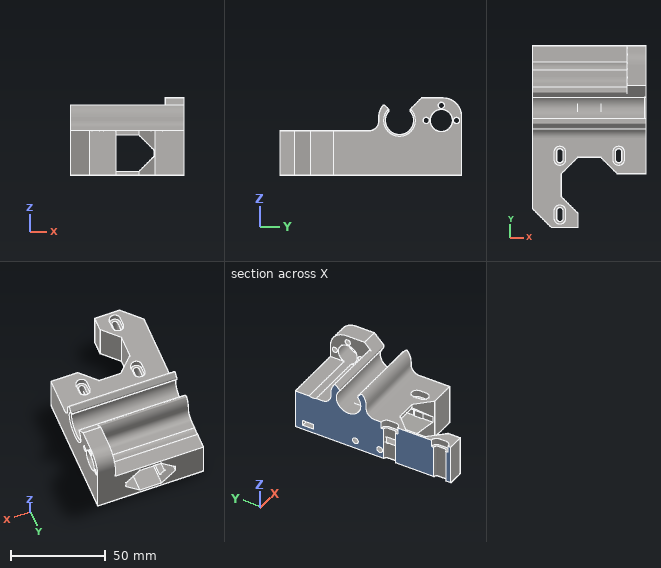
import cadquery as cq
import math

width = 60.0
length = 96.0
block_top = 23.6
leg_width = 24.1
leg_chamfer = 10.0
front_face_y = 28.3
center_x = width / 2

rod_y = 63.2
axis_z = 29.0
bore_radius = 7.4
bore_entry_chamfer = 1.0
mouth_half_width = 5.6
ridge_half_width = 11.0
ridge_fillet = 5.0
ridge_arc_radius = 10.0
ridge_arc_z = 30.6
ridge_edge_round = 0.8
mouth_edge_round = 1.0
mouth_corner_z = 34.8

lug_width = 10.0
lug_top = 41.0
lug_corner_radius = 10.0
lug_hole_y = 85.2
lug_hole_diameter = 11.6
pin_hole_diameter = 3.2
pin_hole_offset = 8.0

motor_y = 22.4
octagon_sides = 8
octagon_width = 29.4
slot_pitch = 31.0
slot_travel = 4.0
slot_width = 3.3
recess_width = 6.0
recess_depth = 4.0

passage_width = 28.0
passage_bottom = 2.1
passage_top = 21.3
passage_chamfer = 7.9

side_hole_diameter = 3.3
side_hole_z = 5.0
side_hole_ys = (44.0, 58.9)
tie_slot_y = 88.1
tie_slot_z = 4.2
tie_slot_length = 6.4
tie_slot_height = 2.7


def along_x(x=0.0):
    """Sketch plane facing +X whose local axes are Y and Z."""
    return cq.Workplane("YZ", origin=(x, 0, 0))


def x_cylinder(y, z, diameter, reach=width, start=0.0):
    return along_x(start).center(y, z).circle(diameter / 2).extrude(reach)


def make_block():
    return (
        cq.Workplane("XY")
        .moveTo(0, leg_chamfer)
        .lineTo(leg_chamfer, 0)
        .lineTo(leg_width, 0)
        .lineTo(leg_width, front_face_y)
        .lineTo(width, front_face_y)
        .lineTo(width, length)
        .lineTo(0, length)
        .close()
        .extrude(block_top)
    )


def round_long_edge(solid, y, z, radius):
    """Fillet the edge along X that passes closest to the point (y, z)."""
    middle_x = solid.val().Center().x
    point = (middle_x, y, z)
    return solid.edges("|X").edges(cq.selectors.NearestToPointSelector(point)).fillet(radius)


def peak_run():
    """Y distance from the outer arc's centre to where the arc meets the 45 degree mouth flank."""
    arc_center = ridge_half_width - ridge_arc_radius
    flank_height = mouth_corner_z + (arc_center - mouth_half_width) - ridge_arc_z
    return (math.sqrt(2 * ridge_arc_radius**2 - flank_height**2) - flank_height) / 2


def make_ridge(side):
    """Raised wall on one side of the rod channel; side is +1 toward +Y, -1 toward -Y."""
    def y_at(offset):
        return rod_y + side * offset

    arc_center = ridge_half_width - ridge_arc_radius
    peak_offset = arc_center + peak_run()
    peak_z = mouth_corner_z + peak_offset - mouth_half_width
    arc_middle = math.acos(peak_run() / ridge_arc_radius) / 2
    fillet_middle = ridge_fillet * (1 - math.sqrt(0.5))
    wall = (
        along_x()
        .moveTo(y_at(0), block_top)
        .lineTo(y_at(ridge_half_width + ridge_fillet), block_top)
        .threePointArc(
            (y_at(ridge_half_width + fillet_middle), block_top + fillet_middle),
            (y_at(ridge_half_width), block_top + ridge_fillet),
        )
        .lineTo(y_at(ridge_half_width), ridge_arc_z)
        .threePointArc(
            (
                y_at(arc_center + ridge_arc_radius * math.cos(arc_middle)),
                ridge_arc_z + ridge_arc_radius * math.sin(arc_middle),
            ),
            (y_at(peak_offset), peak_z),
        )
        .lineTo(y_at(mouth_half_width), mouth_corner_z)
        .lineTo(y_at(mouth_half_width), axis_z)
        .lineTo(y_at(0), axis_z)
        .close()
        .extrude(width)
    )
    wall = round_long_edge(wall, y_at(peak_offset), peak_z, ridge_edge_round)
    return round_long_edge(wall, y_at(mouth_half_width), mouth_corner_z, mouth_edge_round)


def make_lug():
    flank_y = rod_y + mouth_half_width
    slope_run = lug_top - mouth_corner_z
    lug = (
        along_x(width - lug_width)
        .moveTo(length, 0)
        .lineTo(length, lug_top)
        .lineTo(flank_y + slope_run, lug_top)
        .lineTo(flank_y, mouth_corner_z)
        .lineTo(flank_y, 0)
        .close()
        .extrude(lug_width)
    )
    lug = round_long_edge(lug, length, lug_top, lug_corner_radius)
    return round_long_edge(lug, flank_y, mouth_corner_z, mouth_edge_round)


def make_bore():
    """Rod bore with a chamfered entry at the +X end."""
    main_bore = x_cylinder(rod_y, axis_z, 2 * bore_radius)
    entry_start = width - bore_entry_chamfer
    entry = (
        along_x(entry_start)
        .center(rod_y, axis_z)
        .circle(bore_radius)
        .workplane(offset=bore_entry_chamfer)
        .circle(bore_radius + bore_entry_chamfer)
        .loft()
    )
    return main_bore.union(entry)


def make_lug_holes():
    holes = x_cylinder(lug_hole_y, axis_z, lug_hole_diameter)
    for dy, dz in ((-pin_hole_offset, 0), (pin_hole_offset, 0), (0, pin_hole_offset)):
        holes = holes.union(
            x_cylinder(lug_hole_y + dy, axis_z + dz, pin_hole_diameter, lug_width, width - lug_width)
        )
    return holes


def make_motor_opening():
    circumscribed = octagon_width / math.cos(math.pi / octagon_sides)
    return (
        cq.Workplane("XY")
        .center(center_x, motor_y)
        .transformed(rotate=(0, 0, 180 / octagon_sides))
        .polygon(octagon_sides, circumscribed)
        .extrude(block_top)
    )


def make_motor_slots():
    half = slot_pitch / 2
    centers = [
        (center_x - half, motor_y - half),
        (center_x - half, motor_y + half),
        (center_x + half, motor_y + half),
    ]
    through = (
        cq.Workplane("XY")
        .pushPoints(centers)
        .slot2D(slot_travel + slot_width, slot_width, 90)
        .extrude(block_top)
    )
    recess = (
        cq.Workplane("XY", origin=(0, 0, block_top))
        .pushPoints(centers)
        .slot2D(slot_travel + recess_width, recess_width, 90)
        .extrude(-recess_depth)
    )
    return through.union(recess)


def make_passage():
    """Octagonal tunnel from the middle of the motor opening out through the +Y face."""
    reach = length - motor_y
    height = passage_top - passage_bottom
    return (
        cq.Workplane("XY")
        .box(passage_width, reach, height, centered=(True, False, False))
        .edges("|Y")
        .chamfer(passage_chamfer)
        .translate((center_x, motor_y, passage_bottom))
    )


def make_side_openings():
    """Screw holes and cable tie slot from the -X face into the passage."""
    openings = (
        along_x()
        .center(tie_slot_y, tie_slot_z)
        .rect(tie_slot_length, tie_slot_height)
        .extrude(center_x)
    )
    for y in side_hole_ys:
        openings = openings.union(x_cylinder(y, side_hole_z, side_hole_diameter, center_x))
    return openings


body = make_block().union(make_ridge(1)).union(make_ridge(-1)).union(make_lug())
result = (
    body.cut(make_bore())
    .cut(make_lug_holes())
    .cut(make_motor_opening())
    .cut(make_motor_slots())
    .cut(make_passage())
    .cut(make_side_openings())
)